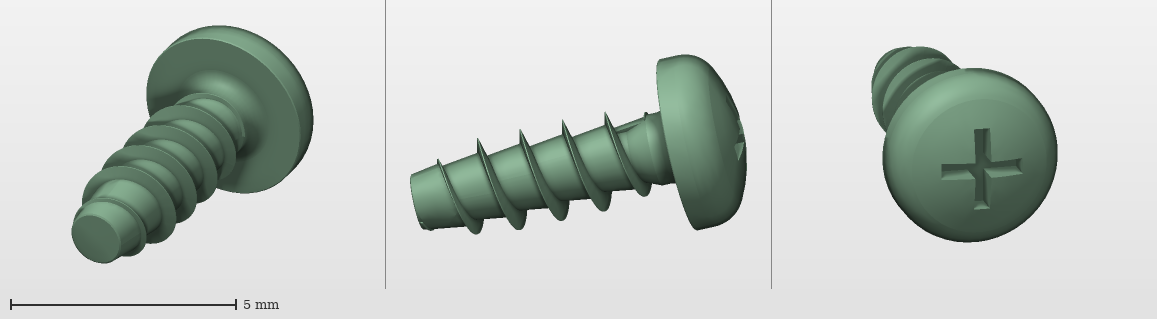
import cadquery as cq
import math


TOTAL_LENGTH = 7.47

HEAD_RADIUS = 1.95
RIM_HEIGHT = 0.425
RIM_CHAMFER = 0.02
SHOULDER_RADIUS = 0.76
DOME_RADIUS = 3.29
SHOULDER_CENTRE_X = HEAD_RADIUS - SHOULDER_RADIUS
CENTRE_DROP = math.sqrt((DOME_RADIUS - SHOULDER_RADIUS) ** 2 - SHOULDER_CENTRE_X**2)
DOME_CENTRE_Y = RIM_HEIGHT - CENTRE_DROP

RECESS_DEPTH = 0.75
RECESS_ARM_WIDTH = 0.365
RECESS_SPAN = 1.87
INNER_CORNER_RADIUS = RECESS_ARM_WIDTH / math.sqrt(2)
HEAD_HEIGHT = DOME_CENTRE_Y + math.sqrt(DOME_RADIUS**2 - INNER_CORNER_RADIUS**2)

SHANK_LENGTH = TOTAL_LENGTH - HEAD_HEIGHT
NECK_RADIUS = 0.81
NECK_FILLET = 0.34
NECK_DEPTH = 0.53
NECK_TAPER_LENGTH = 0.485
CORE_RADIUS = 0.61
TIP_RADIUS = 0.63
TIP_TAPER = 0.17
TIP_CHAMFER_WIDTH = 0.04
TIP_CHAMFER_HEIGHT = 0.02
TIP_POINT_HEIGHT = 0.01

PITCH = 0.97
CREST_DEPTH = 1.35
CREST_RADIUS = 1.1
CREST_FLAT = 0.02
HEAD_FLANK_SLOPE = 0.25
TIP_FLANK_SLOPE = 0.19
THREAD_BASE_RADIUS = 0.6
RAMP_HIGH_RADIUS = 0.79
RAMP_LOW_RADIUS = 0.665
RAMP_BASE_RADIUS = 0.52
RAMP_GAP = 0.045

START_TURN = -1.0
FULL_START_TURN = 0.25
FULL_END_TURN = 3.2
END_TURN = 4.7
START_CREST_RADIUS = 0.85
END_CREST_RADIUS = 0.66
START_CREST_DEPTH = NECK_DEPTH + CREST_FLAT
TURNS_PER_FACE = 0.5
POINTS_PER_FACE = 12


def make_head():
    """Revolved head with rim, rounded shoulder and tangent spherical dome, cut by the cross recess."""
    join_angle = math.atan2(CENTRE_DROP, SHOULDER_CENTRE_X)

    def on_shoulder(angle):
        return (
            SHOULDER_CENTRE_X + SHOULDER_RADIUS * math.cos(angle),
            RIM_HEIGHT + SHOULDER_RADIUS * math.sin(angle),
        )

    def on_dome(angle):
        return (DOME_RADIUS * math.cos(angle), DOME_CENTRE_Y + DOME_RADIUS * math.sin(angle))

    apex = (0, DOME_CENTRE_Y + DOME_RADIUS)
    head = (
        cq.Workplane("XY")
        .lineTo(HEAD_RADIUS - RIM_CHAMFER, 0)
        .lineTo(HEAD_RADIUS, RIM_CHAMFER)
        .lineTo(HEAD_RADIUS, RIM_HEIGHT)
        .threePointArc(on_shoulder(join_angle / 2), on_shoulder(join_angle))
        .threePointArc(on_dome((join_angle + math.pi / 2) / 2), apex)
        .close()
        .revolve(360, (0, 0, 0), (0, 1, 0))
    )
    floor_y = apex[1] - RECESS_DEPTH
    for size_x, size_z in ((RECESS_SPAN, RECESS_ARM_WIDTH), (RECESS_ARM_WIDTH, RECESS_SPAN)):
        arm = cq.Workplane("XY").box(size_x, RECESS_DEPTH, size_z, centered=(True, False, True))
        head = head.cut(arm.translate((0, floor_y, 0)))
    return head


def make_shank():
    """Revolved neck with its fillet under the head, a short taper and the plain inner core."""
    arc_offset = NECK_FILLET * (1 - math.sqrt(0.5))
    return (
        cq.Workplane("XY")
        .lineTo(NECK_RADIUS + NECK_FILLET, 0)
        .threePointArc((NECK_RADIUS + arc_offset, -arc_offset), (NECK_RADIUS, -NECK_FILLET))
        .lineTo(NECK_RADIUS, -NECK_DEPTH)
        .lineTo(CORE_RADIUS, -NECK_DEPTH - NECK_TAPER_LENGTH)
        .lineTo(CORE_RADIUS, -SHANK_LENGTH)
        .lineTo(0, -SHANK_LENGTH)
        .close()
        .revolve(360, (0, 0, 0), (0, 1, 0))
    )


def make_tip_envelope():
    """Cone that limits the core near the tip, with a chamfered and slightly pointed end."""
    end_y = TIP_POINT_HEIGHT - SHANK_LENGTH
    return (
        cq.Workplane("XY")
        .lineTo(TIP_RADIUS + TIP_TAPER * SHANK_LENGTH, 0)
        .lineTo(TIP_RADIUS, end_y + TIP_CHAMFER_HEIGHT)
        .lineTo(TIP_RADIUS - TIP_CHAMFER_WIDTH, end_y)
        .lineTo(0, -SHANK_LENGTH)
        .close()
        .revolve(360, (0, 0, 0), (0, 1, 0))
    )


def helix_point(turn, depth, radius):
    angle = 2 * math.pi * turn
    return cq.Vector(radius * math.cos(angle), -depth, radius * math.sin(angle))


def crest_depth(turn):
    """Depth of the crest; the run-in lies flat against the end of the neck."""
    return max(CREST_DEPTH + PITCH * turn, START_CREST_DEPTH)


def crest_radius(turn):
    """Crest radius, growing along the run-in and shrinking along the run-out."""
    run_in = (turn - START_TURN) / (FULL_START_TURN - START_TURN)
    run_out = (END_TURN - turn) / (END_TURN - FULL_END_TURN)
    return min(
        CREST_RADIUS,
        START_CREST_RADIUS + (CREST_RADIUS - START_CREST_RADIUS) * run_in,
        END_CREST_RADIUS + (CREST_RADIUS - END_CREST_RADIUS) * run_out,
    )


def thread_section(turn):
    """Corners (depth, radius) of the thread ridge at a turn."""
    depth = crest_depth(turn)
    radius = crest_radius(turn)
    height = radius - THREAD_BASE_RADIUS
    head_edge = depth - CREST_FLAT / 2
    tip_edge = depth + CREST_FLAT / 2
    return [
        (head_edge - HEAD_FLANK_SLOPE * height, THREAD_BASE_RADIUS),
        (head_edge, radius),
        (tip_edge, radius),
        (tip_edge + TIP_FLANK_SLOPE * height, THREAD_BASE_RADIUS),
    ]


def ramp_section(turn):
    """Corners (depth, radius) of the falling core surface between two thread turns."""
    start = CREST_DEPTH + PITCH * turn
    end = start + PITCH - RAMP_GAP
    return [
        (start, RAMP_BASE_RADIUS),
        (start, RAMP_HIGH_RADIUS),
        (end, RAMP_LOW_RADIUS),
        (end, RAMP_BASE_RADIUS),
    ]


def helical_solid(section, start_turn, end_turn):
    """Solid whose section corners wind around the axis from start_turn to end_turn."""
    count = math.ceil((end_turn - start_turn) / TURNS_PER_FACE)
    stops = [start_turn + (end_turn - start_turn) * i / count for i in range(count + 1)]
    faces = []
    for first, last in zip(stops, stops[1:]):
        turns = [first + (last - first) * i / POINTS_PER_FACE for i in range(POINTS_PER_FACE + 1)]
        rings = [[helix_point(turn, *corner) for corner in section(turn)] for turn in turns]
        edges = [cq.Edge.makeSpline(list(path)) for path in zip(*rings)]
        for edge, next_edge in zip(edges, edges[1:] + edges[:1]):
            faces.append(cq.Face.makeRuledSurface(edge, next_edge))
    for turn in (start_turn, end_turn):
        ring = [helix_point(turn, *corner) for corner in section(turn)]
        faces.append(cq.Face.makeFromWires(cq.Wire.makePolygon(ring, close=True)))
    solid = cq.Solid.makeSolid(cq.Shell.makeShell(faces))
    return cq.Workplane(solid.fix())


core_ramp = helical_solid(ramp_section, START_TURN, END_TURN)
thread = helical_solid(thread_section, START_TURN, END_TURN)
shank = make_shank().union(core_ramp).intersect(make_tip_envelope())
result = make_head().union(shank).union(thread)